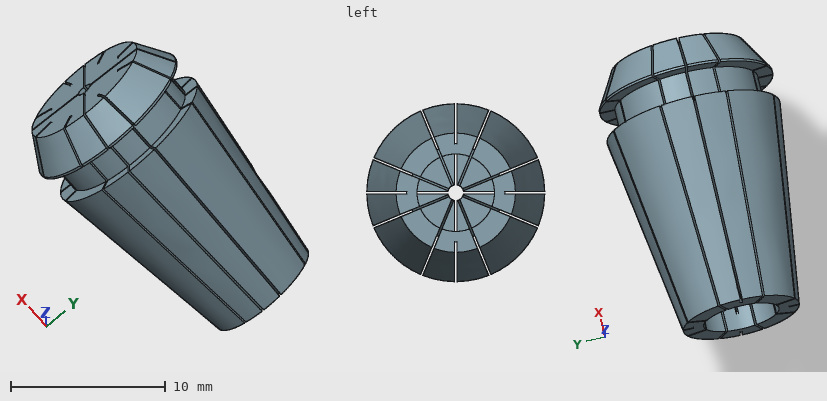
import cadquery as cq
import math

length = 18.0
outer_radius = 5.751
taper_angle = 8.0
taper_length = 13.52
groove_radius = 4.75
collar_start = 15.53
rim_width = 0.16
collar_angle = 30.0

wide_bore_radius = 2.5
wide_bore_depth = 9.0
narrow_bore_radius = 0.5

slot_width = 0.15
cutter_clearance = 0.18
disc_radius = 25.74
front_web_radius = 3.19
front_web_angle = 31.0
rear_web_radius = 3.05
rear_web_angle = 28.6
front_web_slot_angles = [0.0, 90.0, 180.0, 270.0]
rear_web_slot_angles = [22.5 + 45.0 * i for i in range(8)]


def make_body():
    front_radius = outer_radius - taper_length * math.tan(math.radians(taper_angle))
    rim_end = collar_start + rim_width
    rear_radius = outer_radius - (length - rim_end) * math.tan(math.radians(collar_angle))
    profile = (
        cq.Workplane("XY")
        .moveTo(0, wide_bore_radius)
        .lineTo(0, front_radius)
        .lineTo(taper_length, outer_radius)
        .lineTo(taper_length, groove_radius)
        .lineTo(collar_start, groove_radius)
        .lineTo(collar_start, outer_radius)
        .lineTo(rim_end, outer_radius)
        .lineTo(length, rear_radius)
        .lineTo(length, narrow_bore_radius)
        .lineTo(wide_bore_depth, narrow_bore_radius)
        .lineTo(wide_bore_depth, wide_bore_radius)
        .close()
    )
    return profile.revolve(360, (0, 0, 0), (1, 0, 0))


def make_slot_cutter(web_end, inward, web_radius, web_angle):
    """Slot above the bore axis.

    Its floor is an arc that leaves the end face x = web_end at web_radius, sloping
    towards the axis at web_angle. The slot is fully open beyond the arc's meeting
    with the axis. inward is the X direction that leads from web_end into the part.
    """
    slope = math.radians(web_angle)
    centre_x = web_end + inward * disc_radius * math.sin(slope)
    centre_height = web_radius + disc_radius * math.cos(slope)

    def floor_point(height):
        run = math.sqrt(disc_radius**2 - (centre_height - height) ** 2)
        return (centre_x - inward * run, height)

    open_end = web_end + inward * length
    cutter_top = outer_radius + cutter_clearance
    axis_point = floor_point(0)
    outline = (
        cq.Workplane("XY")
        .moveTo(web_end, web_radius)
        .threePointArc(floor_point(web_radius / 2), axis_point)
        .lineTo(open_end, 0)
        .lineTo(open_end, cutter_top)
        .lineTo(web_end, cutter_top)
        .close()
    )
    return outline.extrude(slot_width / 2, both=True)


def cut_slots(body, cutter, angles):
    for angle in angles:
        body = body.cut(cutter.rotate((0, 0, 0), (1, 0, 0), angle))
    return body


front_web_cutter = make_slot_cutter(0.0, 1, front_web_radius, front_web_angle)
rear_web_cutter = make_slot_cutter(length, -1, rear_web_radius, rear_web_angle)

result = make_body()
result = cut_slots(result, front_web_cutter, front_web_slot_angles)
result = cut_slots(result, rear_web_cutter, rear_web_slot_angles)